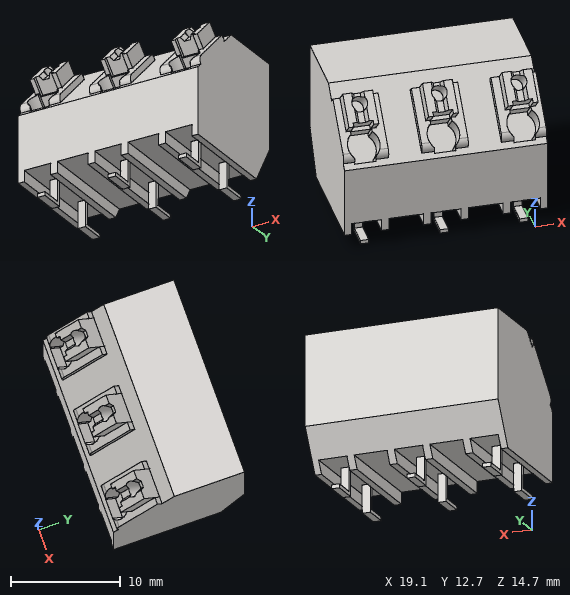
import cadquery as cq


width = 19.13
half_depth = 6.35
top_z = 12.84
slope_run = 5.9
back_chamfer_run = 2.3
back_chamfer_rise = 3.98
slope_top_y = slope_run - half_depth

pole_pitch = 7.5
pole_positions = [-pole_pitch, 0, pole_pitch]

foot_height = 1.17
foot_inner_half = 1.4
foot_outer_half = 2.12

pad_width = 4.36
pad_start = 1.68
pad_end = 7.67
pad_height = 0.63
pad_nose_radius = 0.75
pad_root = 0.38

lever_width = 2.81
lever_length = 3.18
lever_rise_above_pad = 1.5
lever_end = pad_start + lever_length
lever_top = pad_height + lever_rise_above_pad

groove_top_width = 1.15
groove_floor_width = 0.61
groove_depth = 0.45

release_hole_radius = 0.73
release_hole_down = 2.72
release_hole_floor = 0

notch_width = 1.87
notch_length = 0.38
notch_floor = 0.29

entry_slot_width = 2.0
entry_slot_end = 7.85
entry_floor = -1.34
entry_pocket_down = 6.31
entry_pocket_radius = 1.51

pin_width = 0.8
pin_thickness = 0.38
pin_foot_length = 2.6
pin_drop = 1.57
back_pin_inner_y = 1.53
front_pin_inner_y = -3.08


def slope_plane(height):
    """Workplane parallel to the slope; its local +Y points up the slope."""
    return cq.Workplane(
        cq.Plane(
            origin=(0, slope_top_y, top_z),
            xDir=(1, 0, 0),
            normal=(0, -1, 1),
        )
    ).workplane(offset=height)


def slope_box(pole_x, box_width, start, end, bottom, top):
    """Box aligned with the slope, between two distances down it and two heights."""
    return (
        slope_plane(bottom)
        .center(pole_x, -(start + end) / 2)
        .rect(box_width, end - start)
        .extrude(top - bottom)
    )


def slope_cylinder(pole_x, down, radius, bottom, top):
    """Cylinder square to the slope, between two heights."""
    return slope_plane(bottom).center(pole_x, -down).circle(radius).extrude(top - bottom)


def make_lever_blank(pole_x):
    """Plain lever block, which also cuts its own pocket in the housing."""
    return slope_box(pole_x, lever_width, pad_start, lever_end, entry_floor, lever_top)


def make_release_hole(pole_x):
    return slope_cylinder(pole_x, release_hole_down, release_hole_radius, release_hole_floor, lever_top)


def make_notch(pole_x):
    return slope_box(pole_x, notch_width, lever_end - notch_length, lever_end, notch_floor, lever_top)


def make_block():
    profile = [
        (-half_depth, 0),
        (half_depth - back_chamfer_run, 0),
        (half_depth, back_chamfer_rise),
        (half_depth, top_z),
        (slope_top_y, top_z),
        (-half_depth, top_z - slope_run),
    ]
    return cq.Workplane("YZ").polyline(profile).close().extrude(width / 2, both=True)


def make_channel(start_x, end_x):
    """Opening below the block from front to back."""
    channel = cq.Workplane("XY").box(
        end_x - start_x, 2 * half_depth, foot_height, centered=(False, True, False)
    )
    return channel.translate((start_x, 0, 0))


def make_pad(pole_x):
    """Pad with a rounded lower edge, its root sunk into the block and its sides kept within it."""
    pad = slope_box(pole_x, pad_width, pad_start, pad_end, -pad_root, pad_height)
    pad = pad.faces(">(0, -1, 1)").edges("<Z").fillet(pad_nose_radius)
    width_limit = cq.Workplane("XY").box(width, 4 * half_depth, 4 * top_z)
    return pad.intersect(width_limit)


def cut_wire_entry(body, pole_x):
    """Cut the round pocket and the straight slot; the lever hides the pocket's uppermost edge."""
    pocket = slope_cylinder(pole_x, entry_pocket_down, entry_pocket_radius, entry_floor, lever_top)
    slot = slope_box(pole_x, entry_slot_width, lever_end, entry_slot_end, entry_floor, lever_top)
    return body.cut(pocket).cut(slot)


def make_housing():
    body = make_block()
    for pole_x in pole_positions:
        body = body.cut(make_channel(pole_x - foot_inner_half, pole_x + foot_inner_half))
    for left_x, right_x in zip(pole_positions, pole_positions[1:]):
        body = body.cut(make_channel(left_x + foot_outer_half, right_x - foot_outer_half))
    for pole_x in pole_positions:
        body = body.union(make_pad(pole_x))
        body = cut_wire_entry(body, pole_x)
        body = body.cut(make_lever_blank(pole_x))
    return body


def make_groove(pole_x):
    """Trapezoidal bar that cuts the groove along the whole lever."""
    half_top = groove_top_width / 2
    half_floor = groove_floor_width / 2
    section = cq.Plane(
        origin=slope_plane(lever_top).plane.toWorldCoords((pole_x, -pad_start, 0)),
        xDir=(1, 0, 0),
        normal=(0, -1, -1),
    )
    return (
        cq.Workplane(section)
        .polyline([
            (-half_top, 0),
            (half_top, 0),
            (half_floor, -groove_depth),
            (-half_floor, -groove_depth),
        ])
        .close()
        .extrude(lever_length)
    )


def make_lever(pole_x):
    lever = make_lever_blank(pole_x)
    lever = lever.cut(make_groove(pole_x))
    lever = lever.cut(make_release_hole(pole_x))
    return lever.cut(make_notch(pole_x))


def make_pin(pole_x, inner_y, direction):
    """L-shaped pin whose foot points along Y in the given direction (+1 back, -1 front)."""
    leg_y = inner_y + direction * pin_thickness
    tip_y = inner_y + direction * pin_foot_length
    foot_top = pin_thickness - pin_drop
    profile = [
        (inner_y, foot_height),
        (inner_y, -pin_drop),
        (tip_y, -pin_drop),
        (tip_y, foot_top),
        (leg_y, foot_top),
        (leg_y, foot_height),
    ]
    pin = cq.Workplane("YZ").polyline(profile).close().extrude(pin_width / 2, both=True)
    return pin.translate((pole_x, 0, 0))


housing = make_housing()
levers = [make_lever(pole_x) for pole_x in pole_positions]
back_pins = [make_pin(pole_x, back_pin_inner_y, 1) for pole_x in pole_positions]
front_pins = [make_pin(pole_x, front_pin_inner_y, -1) for pole_x in pole_positions]

result = cq.Compound.makeCompound(
    [body.solids().val() for body in [housing, *levers, *back_pins, *front_pins]]
)